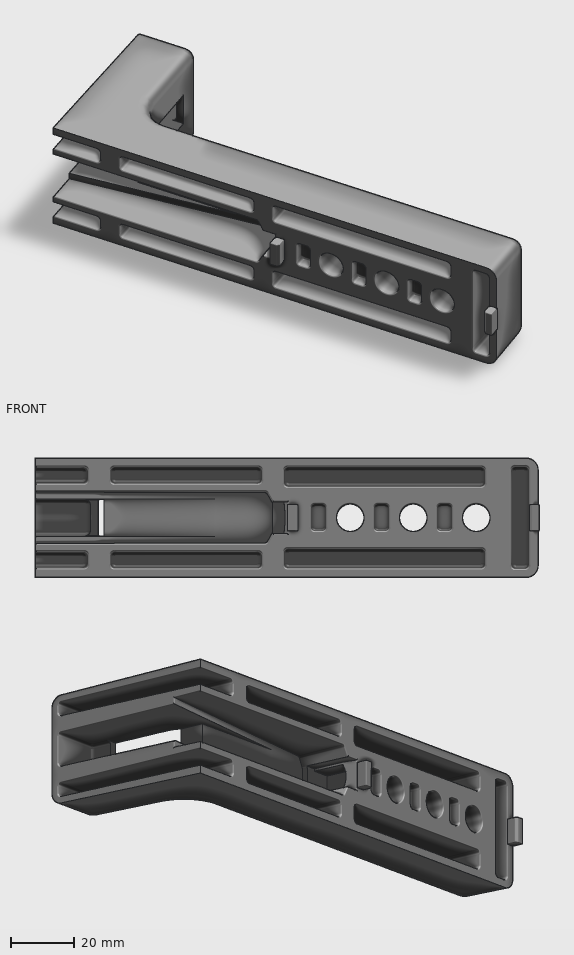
import cadquery as cq
import math

BODY_LENGTH = 159.7
HEIGHT = 38.0
LEG_REACH = 60.2
ARM_THICKNESS = 20.2
LEG_THICKNESS = 21.0
DRAFT = 1.0
DRAFT_SLOPE = math.tan(math.radians(DRAFT))
INNER_CORNER_RADIUS = 10.0
OUTER_RADIUS = 3.8

RIM_RADIUS = 0.5
POCKET_CORNER_RADIUS = 1.5
POCKET_FLOOR_RADIUS = 1.1
WALL = 2.5
ARM_POCKET_DEPTH = ARM_THICKNESS - WALL
LEG_POCKET_DEPTH = LEG_REACH - WALL
DEEP_DRAFT = 0.5
OPEN_OVERRUN = 16.0

LEG_POCKET_END = 17.0
SIDE_POCKET_START, SIDE_POCKET_END = 23.8, 72.2
SIDE_POCKET_WIDTH = 5.5
SIDE_POCKET_OFFSET = 13.5
LONG_POCKET_START, LONG_POCKET_END = 78.9, 143.0
LONG_POCKET_WIDTH = 6.4
LONG_POCKET_OFFSET = 13.0
END_POCKET_START, END_POCKET_END = 151.0, 157.0
END_POCKET_WIDTH = 32.6

HOLE_COUNT = 3
HOLE_PITCH = 20.0
FIRST_HOLE_X = 100.0
HOLE_DIAMETER = 8.6
SLOT_TO_HOLE = HOLE_PITCH / 2
SLOT_LENGTH = 5.0
SLOT_WIDTH = 8.6
SLOT_DEPTH = 4.0
SLOT_FLOOR_RADIUS = 0.8

CHANNEL_HALF_WIDTH = 8.3
CHANNEL_END = 73.6
CHANNEL_TIP = 75.7
CHANNEL_TIP_HALF_WIDTH = 4.6
SHELF_DEPTH_START = 10.4
SLOT_FLOOR_DEPTH = 16.5
WINDOW_END = 21.8
SLOT_FLOOR_END = 57.0
SHELF_SLOPE = (SLOT_FLOOR_DEPTH - SHELF_DEPTH_START) / SLOT_FLOOR_END
SHELF_DEPTH_END = SHELF_DEPTH_START + SHELF_SLOPE * CHANNEL_TIP
WINDOW_TOP = 50.2
NARROW_SLOT_WIDTH = 12.2
LEG_CAVITY_END = 18.0
CHANNEL_CORNER_RADIUS = 1.3
RELIEF_END = 85.6
RELIEF_WIDTH = 8.3
RELIEF_ARCH_RISE = 1.3
RELIEF_ROOF_DEPTH = 5.1
RELIEF_MOUTH_INNER_END = 79.0
RELIEF_MOUTH_WIDTH = 10.0

TAB_PROJECTION = 3.8
TAB_WIDTH = 8.5
MIDDLE_TAB_START, MIDDLE_TAB_END = 80.0, 83.4
END_TAB_START, END_TAB_END = END_POCKET_END, 160.0
TAB_TIP_CHAMFER = 0.8
TAB_EDGE_RADIUS = 0.3

BACKWARD = cq.Plane(origin=(0, 0, 0), xDir=(1, 0, 0), normal=(0, 1, 0))


def box(x_start, x_end, y_start, y_end, width):
    """Box centred on Z = 0."""
    size = (x_end - x_start, y_end - y_start, width)
    return cq.Workplane("XY").box(*size, centered=(False, False, True)).translate((x_start, y_start, 0))


def pocket(x_start, x_end, z_center, width, depth, draft=DRAFT, floor_radius=POCKET_FLOOR_RADIUS):
    """Drafted cutter going back from the front face, with rounded corners and floor."""
    return (
        cq.Workplane(BACKWARD)
        .center((x_start + x_end) / 2, -z_center)
        .rect(x_end - x_start, width)
        .extrude(depth, taper=draft)
        .edges("not #Y")
        .fillet(POCKET_CORNER_RADIUS)
        .faces(">Y")
        .edges()
        .fillet(floor_radius)
    )


def prism(points, width):
    """Outline in the XY plane extruded symmetrically about Z = 0."""
    return cq.Workplane("XY").polyline(points).close().extrude(width / 2, both=True)


def make_body():
    leg_back = LEG_THICKNESS - LEG_REACH * DRAFT_SLOPE
    leg_at_arm = LEG_THICKNESS - ARM_THICKNESS * DRAFT_SLOPE
    end_back = BODY_LENGTH - ARM_THICKNESS * DRAFT_SLOPE
    outline = [(0, 0), (BODY_LENGTH, 0), (end_back, ARM_THICKNESS), (leg_at_arm, ARM_THICKNESS),
               (leg_back, LEG_REACH), (0, LEG_REACH)]
    half_front = HEIGHT / 2
    half_back = half_front - LEG_REACH * DRAFT_SLOPE
    section = [(0, -half_front), (0, half_front), (LEG_REACH, half_back), (LEG_REACH, -half_back)]
    drafted = cq.Workplane("YZ").polyline(section).close().extrude(BODY_LENGTH)
    body = prism(outline, HEIGHT).intersect(drafted)
    inner_corner = cq.selectors.NearestToPointSelector((leg_at_arm, ARM_THICKNESS, 0))
    leg_tip = cq.selectors.NearestToPointSelector((leg_back, LEG_REACH, 0))
    arm_tip = cq.selectors.NearestToPointSelector((end_back, ARM_THICKNESS, 0))
    body = body.edges(inner_corner).fillet(INNER_CORNER_RADIUS)
    body = body.edges(leg_tip).fillet(OUTER_RADIUS)
    body = body.edges(arm_tip).fillet(OUTER_RADIUS)
    return body.edges("not (<X or <Y or |Z)").fillet(OUTER_RADIUS)


def cut_pockets(body):
    for side in (-1, 1):
        side_z = side * SIDE_POCKET_OFFSET
        body = body.cut(pocket(-OPEN_OVERRUN, LEG_POCKET_END, side_z, SIDE_POCKET_WIDTH,
                               LEG_POCKET_DEPTH, DEEP_DRAFT))
        body = body.cut(pocket(SIDE_POCKET_START, SIDE_POCKET_END, side_z, SIDE_POCKET_WIDTH,
                               ARM_POCKET_DEPTH))
        body = body.cut(pocket(LONG_POCKET_START, LONG_POCKET_END, side * LONG_POCKET_OFFSET,
                               LONG_POCKET_WIDTH, ARM_POCKET_DEPTH))
    return body.cut(pocket(END_POCKET_START, END_POCKET_END, 0, END_POCKET_WIDTH, ARM_POCKET_DEPTH))


def cut_holes_and_slots(body):
    for index in range(HOLE_COUNT):
        hole_x = FIRST_HOLE_X + index * HOLE_PITCH
        slot_x = hole_x - SLOT_TO_HOLE
        hole = cq.Workplane(BACKWARD).center(hole_x, 0).circle(HOLE_DIAMETER / 2).extrude(ARM_THICKNESS)
        body = body.cut(hole)
        body = body.cut(pocket(slot_x - SLOT_LENGTH / 2, slot_x + SLOT_LENGTH / 2, 0, SLOT_WIDTH,
                               SLOT_DEPTH, floor_radius=SLOT_FLOOR_RADIUS))
    return body


def cut_channel(body):
    shelf_side = [(0, 0), (0, SHELF_DEPTH_START), (CHANNEL_TIP, SHELF_DEPTH_END), (CHANNEL_TIP, 0)]
    shelf_front = [(-OPEN_OVERRUN, CHANNEL_HALF_WIDTH), (CHANNEL_END, CHANNEL_HALF_WIDTH),
                   (CHANNEL_TIP, CHANNEL_TIP_HALF_WIDTH), (CHANNEL_TIP, -CHANNEL_TIP_HALF_WIDTH),
                   (CHANNEL_END, -CHANNEL_HALF_WIDTH), (-OPEN_OVERRUN, -CHANNEL_HALF_WIDTH)]
    plan = (
        cq.Workplane(BACKWARD)
        .polyline(shelf_front)
        .close()
        .extrude(SHELF_DEPTH_END, taper=DRAFT)
        .edges("not #Y")
        .fillet(CHANNEL_CORNER_RADIUS)
    )
    body = body.cut(prism(shelf_side, HEIGHT).intersect(plan))

    body = body.cut(pocket(-OPEN_OVERRUN, LEG_CAVITY_END, 0, NARROW_SLOT_WIDTH, LEG_POCKET_DEPTH, DEEP_DRAFT))
    slot_side = [(0, 0), (0, WINDOW_TOP), (WINDOW_END, WINDOW_TOP), (WINDOW_END, SLOT_FLOOR_DEPTH),
                 (SLOT_FLOOR_END, SLOT_FLOOR_DEPTH), (SLOT_FLOOR_END, 0)]
    plan = (
        cq.Workplane(BACKWARD)
        .center(SLOT_FLOOR_END / 2, 0)
        .rect(SLOT_FLOOR_END + 2 * OPEN_OVERRUN, NARROW_SLOT_WIDTH)
        .extrude(LEG_REACH, taper=DEEP_DRAFT)
    )
    body = body.cut(prism(slot_side, HEIGHT).intersect(plan))

    relief = (
        cq.Workplane("YZ", origin=(CHANNEL_END, 0, 0))
        .moveTo(SLOT_FLOOR_DEPTH, -RELIEF_WIDTH / 2)
        .lineTo(RELIEF_ROOF_DEPTH, -RELIEF_WIDTH / 2)
        .threePointArc((RELIEF_ROOF_DEPTH - RELIEF_ARCH_RISE, 0), (RELIEF_ROOF_DEPTH, RELIEF_WIDTH / 2))
        .lineTo(SLOT_FLOOR_DEPTH, RELIEF_WIDTH / 2)
        .close()
        .extrude(RELIEF_END - CHANNEL_END)
    )
    body = body.cut(relief)

    mouth_side = [(CHANNEL_END, 0), (MIDDLE_TAB_START, 0), (RELIEF_MOUTH_INNER_END, RELIEF_ROOF_DEPTH),
                  (RELIEF_MOUTH_INNER_END, SLOT_FLOOR_DEPTH), (CHANNEL_END, SLOT_FLOOR_DEPTH)]
    return body.cut(prism(mouth_side, RELIEF_MOUTH_WIDTH))


def round_rims(body):
    inset = RIM_RADIUS
    reach = HEIGHT / 2 - LEG_REACH * DRAFT_SLOPE - inset
    mouths = cq.selectors.BoxSelector(
        (-inset, -inset, -reach), (BODY_LENGTH - 2 * inset, LEG_REACH - OUTER_RADIUS / 2, reach)
    )
    rims = body.faces("<Y or <X").edges(mouths).edges("not (<X and <Y)")
    return rims.fillet(RIM_RADIUS)


def tab(x_start, x_end, chamfered_side):
    block = box(x_start, x_end, -TAB_PROJECTION, 0, TAB_WIDTH)
    block = block.edges("<Y and " + chamfered_side).chamfer(TAB_TIP_CHAMFER)
    return block.edges("not >Y").fillet(TAB_EDGE_RADIUS)


result = make_body()
result = cut_pockets(result)
result = cut_holes_and_slots(result)
result = cut_channel(result)
result = round_rims(result)
result = result.union(tab(MIDDLE_TAB_START, MIDDLE_TAB_END, ">X"))
result = result.union(tab(END_TAB_START, END_TAB_END, "<X"))